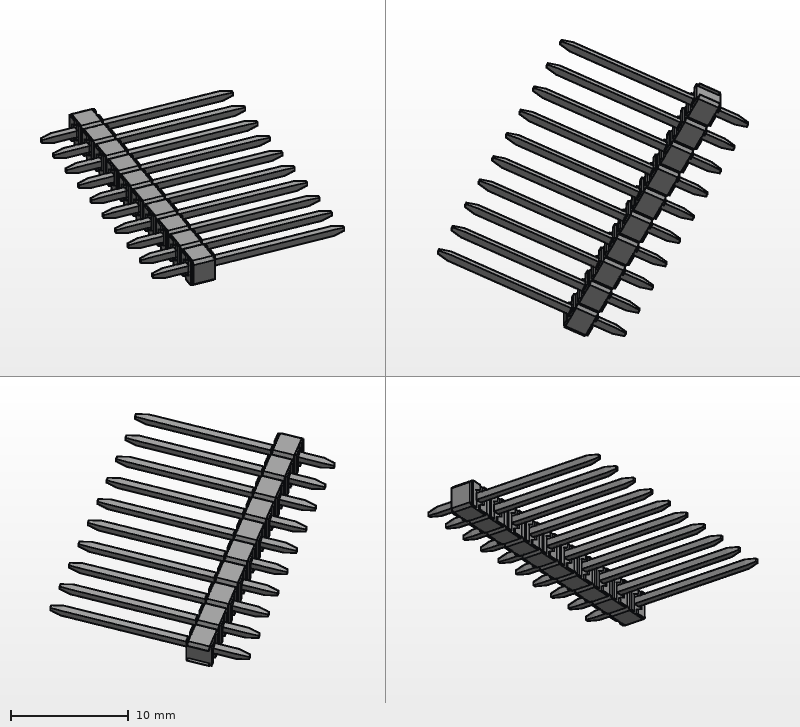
import cadquery as cq

PIN_COUNT = 10
PITCH = 2.55
ROW_LENGTH = PIN_COUNT * PITCH
ROW_END = ROW_LENGTH / 2

CORE_DEPTH = 1.93
CORE_HEIGHT = 2.5
NOTCH = 0.28
CELL_HALF_WIDTH = PITCH / 2 - NOTCH
END_RECESS_HEIGHT = 1.83

PAD_THICKNESS = 0.18
PAD_HEIGHT = 2.4
PAD_HALF_WIDTH = 0.95
CHANNEL_HALF_WIDTH = 0.53
STEP_INNER_Z = 0.5
STEP_OUTER_Z = 0.74

PIN_WIDTH = 0.64
TIP_WIDTH = 0.3
TIP_LENGTH = 1.05
PIN_LENGTH = 17.78
FRONT_REACH = 3.07

HOUSING_FRONT = CORE_DEPTH / 2 + PAD_THICKNESS
PIN_FRONT = -(HOUSING_FRONT + FRONT_REACH)
PIN_BACK = PIN_FRONT + PIN_LENGTH


def make_core():
    """Bar with chamfered ends, V notches between cells and a recess in its -X end."""
    core = cq.Workplane("XY").box(ROW_LENGTH, CORE_DEPTH, CORE_HEIGHT)
    top = CORE_HEIGHT / 2
    for boundary in range(PIN_COUNT + 1):
        x = -ROW_END + boundary * PITCH
        for side in (1, -1):
            notch = (
                cq.Workplane("XZ")
                .polyline([(x - NOTCH, side * top), (x + NOTCH, side * top), (x, side * (top - NOTCH))])
                .close()
                .extrude(CORE_DEPTH / 2, both=True)
            )
            core = core.cut(notch)
    recess = cq.Workplane("XY").box(NOTCH, CORE_DEPTH, END_RECESS_HEIGHT)
    return core.cut(recess.translate((-ROW_END + NOTCH / 2, 0, 0)))


def make_front_pads(left_half_width, right_half_width):
    """The two pads of one cell on the -Y face; each is the other's outline turned half a turn."""
    pads = cq.Workplane("XY")
    for direction, outer in ((-1, left_half_width), (1, right_half_width)):
        outline = [
            (outer, PAD_HEIGHT / 2),
            (CHANNEL_HALF_WIDTH, PAD_HEIGHT / 2),
            (CHANNEL_HALF_WIDTH, -STEP_INNER_Z),
            (0, -STEP_OUTER_Z),
            (0, -PAD_HEIGHT / 2),
            (outer, -PAD_HEIGHT / 2),
        ]
        pad = (
            cq.Workplane("XZ", origin=(0, -CORE_DEPTH / 2, 0))
            .polyline([(direction * x, direction * z) for x, z in outline])
            .close()
            .extrude(PAD_THICKNESS)
        )
        pads = pads.add(pad)
    return pads


def make_back_pads(left_half_width, right_half_width):
    """Pads on the +Y face: the front pads turned half a turn about Z."""
    front = make_front_pads(right_half_width, left_half_width)
    return front.rotate((0, 0, 0), (0, 0, 1), 180)


def make_pin():
    """Square pin along Y, tapered at both ends."""
    def section(y, width):
        return cq.Workplane("XZ", origin=(0, y, 0)).rect(width, width)

    shaft_front = PIN_FRONT + TIP_LENGTH
    shaft_back = PIN_BACK - TIP_LENGTH
    shaft = section(shaft_back, PIN_WIDTH).extrude(shaft_back - shaft_front)
    front_tip = section(shaft_front, PIN_WIDTH).workplane(offset=TIP_LENGTH).rect(TIP_WIDTH, TIP_WIDTH).loft()
    back_tip = section(shaft_back, PIN_WIDTH).workplane(offset=-TIP_LENGTH).rect(TIP_WIDTH, TIP_WIDTH).loft()
    return shaft.union(front_tip).union(back_tip)


result = make_core()
pin = make_pin()
for index in range(PIN_COUNT):
    cell_position = (-ROW_END + (index + 0.5) * PITCH, 0, 0)
    left = CELL_HALF_WIDTH if index == 0 else PAD_HALF_WIDTH
    right = CELL_HALF_WIDTH if index == PIN_COUNT - 1 else PAD_HALF_WIDTH
    for feature in (make_front_pads(left, right), make_back_pads(left, right), pin):
        for solid in feature.vals():
            result = result.union(cq.Workplane(solid).translate(cell_position))